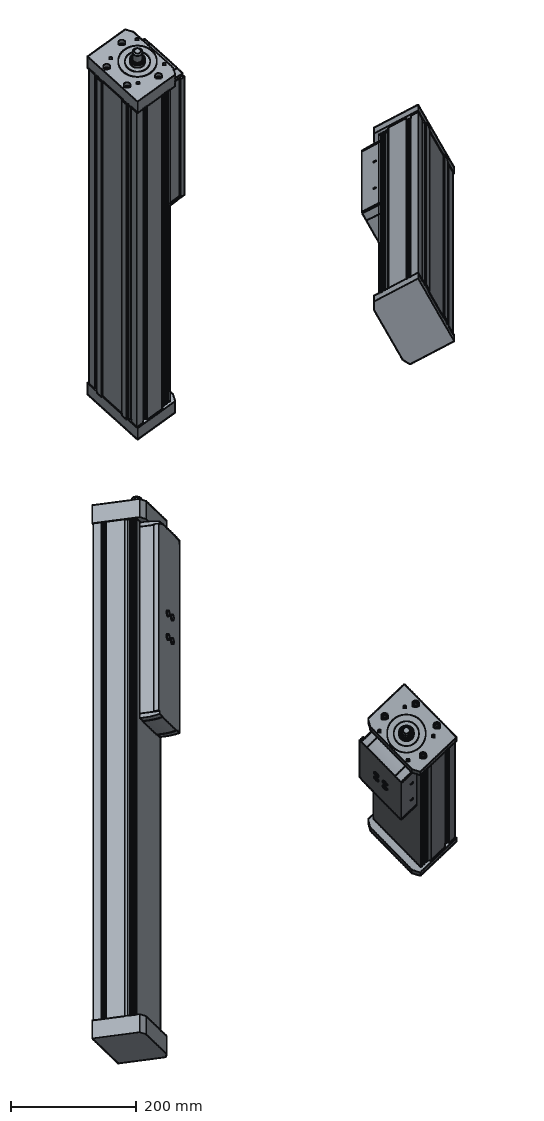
import cadquery as cq


total_length = 934.5
cap_thickness = 31.0
shaft_projection = 27.0
top_face_z = total_length - shaft_projection
profile_length = top_face_z - 2 * cap_thickness

cap_width = 120.0
cap_front_y = -53.0
cap_back_y = 34.0
cap_back_width = 95.0
cap_shoulder_y = 27.0
pilot_diameter = 62.0
seat_diameter = 40.0
ring_step = 1.0
screw_head_diameter = 11.0
screw_head_depth = 9.0
screw_hole_diameter = 6.6
side_screw_x = 44.0
side_screw_y = 6.0
front_screw_x = 24.0
front_screw_y = -44.0
tapped_hole_diameter = 4.95
tapped_hole_depth = 15.0
tapped_hole_offset = 33.0
tapped_hole_y = 28.0

shaft_diameter = 16.0
shaft_chamfer = 3.0
collar_chamfer = 2.0
collar_diameter = 24.0
collar_projection = 7.0

profile_width = 115.0
profile_front_y = -52.0
profile_back_y = 21.0
side_top_y = 1.0
shoulder_height = 5.0
shoulder_inset = 3.0
guide_groove_width = 3.0
guide_groove_depth = 3.0
guide_groove_ys = (10.0, 16.0)
front_rail_width = 11.0
front_rail_height = 3.0
front_rail_x = 30.0
front_slot_width = 6.0
front_slot_depth = 4.0
front_slot_x = 41.0
side_slot_y = -35.0
side_slot_mouth_width = 8.0
side_slot_mouth_depth = 3.0
side_slot_inner_width = 3.0
side_slot_inner_depth = 6.0

carriage_middle_z = 706.5
carriage_block_length = 318.0
carriage_length = 335.0
carriage_width = 93.0
carriage_bottom_y = 22.0
carriage_top_y = 56.0
end_cover_inset = 1.0
end_arc_start_y = 33.0
end_arc_drop = 3.0
end_panel_width = 64.5
end_panel_height = 1.0
foot_width = 75.0
lip_width = 3.0
lip_height = 8.0
ring_diameter = 10.0
ring_projection = 2.0
ring_spacing_x = 20.0
ring_spacing_z = 40.0
side_hole_diameter = 4.95
side_hole_depth = 9.0
side_hole_y = 33.0
side_hole_spacing = 139.0


def box(x_size, y_min, y_max, z_min, z_max, x_middle=0):
    """Axis-aligned block centred on x_middle."""
    block = cq.Workplane("XY").box(x_size, y_max - y_min, z_max - z_min, centered=(True, False, False))
    return block.translate((x_middle, y_min, z_min))


def cylinder(diameter, z_min, z_max, x=0, y=0):
    """Round bar parallel to Z."""
    return cq.Workplane("XY", origin=(x, y, z_min)).circle(diameter / 2).extrude(z_max - z_min)


def make_cap(z_min):
    """Rectangular end plate whose two back corners slope away."""
    outline = [
        (-cap_width / 2, cap_front_y),
        (cap_width / 2, cap_front_y),
        (cap_width / 2, cap_shoulder_y),
        (cap_back_width / 2, cap_back_y),
        (-cap_back_width / 2, cap_back_y),
        (-cap_width / 2, cap_shoulder_y),
    ]
    return cq.Workplane("XY", origin=(0, 0, z_min)).polyline(outline).close().extrude(cap_thickness)


def make_drive_cap():
    """Upper end plate with the shaft bore, circular steps, screw holes and tapped holes."""
    bottom_z = top_face_z - cap_thickness
    screw_seat_z = top_face_z - screw_head_depth
    cap = make_cap(bottom_z)
    cap = cap.cut(cylinder(pilot_diameter, top_face_z - ring_step, top_face_z))
    cap = cap.cut(cylinder(seat_diameter, top_face_z - 2 * ring_step, top_face_z))
    cap = cap.cut(cylinder(collar_diameter, bottom_z, top_face_z))
    for side in (-1, 1):
        for x, y in ((side_screw_x, side_screw_y), (front_screw_x, front_screw_y)):
            cap = cap.cut(cylinder(screw_hole_diameter, bottom_z, top_face_z, side * x, y))
            cap = cap.cut(cylinder(screw_head_diameter, screw_seat_z, top_face_z, side * x, y))
        for y in (-tapped_hole_y, tapped_hole_y):
            x = side * tapped_hole_offset
            cap = cap.cut(cylinder(tapped_hole_diameter, top_face_z - tapped_hole_depth, top_face_z, x, y))
    return cap


def make_shaft():
    """Drive shaft with a collar that fills the bore of the upper end plate."""
    collar_top_z = top_face_z + collar_projection
    collar = cylinder(collar_diameter, top_face_z - cap_thickness, collar_top_z)
    collar = collar.faces(">Z").chamfer(collar_chamfer)
    journal = cylinder(shaft_diameter, collar_top_z, total_length).faces(">Z").chamfer(shaft_chamfer)
    return collar.union(journal)


def make_profile():
    """Extruded beam with two front rails, slots in front and sides, and guide grooves by the carriage."""
    half_width = profile_width / 2
    back_half_width = half_width - shoulder_inset
    shoulder_top_y = side_top_y + shoulder_height
    bottom_z = cap_thickness
    top_z = bottom_z + profile_length
    outline = [
        (-half_width, profile_front_y),
        (half_width, profile_front_y),
        (half_width, side_top_y),
        (back_half_width, shoulder_top_y),
        (back_half_width, profile_back_y),
        (-back_half_width, profile_back_y),
        (-back_half_width, shoulder_top_y),
        (-half_width, side_top_y),
    ]
    beam = cq.Workplane("XY", origin=(0, 0, bottom_z)).polyline(outline).close().extrude(profile_length)

    rail_face_y = profile_front_y - front_rail_height
    slot_floor_y = profile_front_y + front_slot_depth
    side_cuts = [
        (side_slot_mouth_depth, side_slot_mouth_width, side_slot_y, half_width),
        (side_slot_inner_depth, side_slot_inner_width, side_slot_y, half_width),
    ]
    for groove_y in guide_groove_ys:
        side_cuts.append((guide_groove_depth, guide_groove_width, groove_y, back_half_width))

    for side in (-1, 1):
        rail = box(front_rail_width, rail_face_y, profile_front_y, bottom_z, top_z, side * front_rail_x)
        beam = beam.union(rail)
        slot = box(front_slot_width, profile_front_y, slot_floor_y, bottom_z, top_z, side * front_slot_x)
        beam = beam.cut(slot)
        for depth, width, y, wall_x in side_cuts:
            beam = beam.cut(box(2 * depth, y - width / 2, y + width / 2, bottom_z, top_z, side * wall_x))
    return beam


def make_arched_block(width, length):
    """Block whose two Z ends curve back toward its +Y face."""
    half_length = length / 2
    corner_z = half_length - end_arc_drop
    upper_half = (
        cq.Workplane("YZ", origin=(-width / 2, 0, carriage_middle_z))
        .moveTo(carriage_bottom_y, 0)
        .lineTo(carriage_bottom_y, half_length)
        .lineTo(end_arc_start_y, half_length)
        .tangentArcPoint((carriage_top_y, corner_z), relative=False)
        .lineTo(carriage_top_y, 0)
        .close()
        .extrude(width)
    )
    return upper_half.union(upper_half.mirror("XY", (0, 0, carriage_middle_z)))


def make_carriage():
    """Sliding block with arched end covers, a foot on the profile, locating rings and side holes."""
    block_bottom_z = carriage_middle_z - carriage_block_length / 2
    block_top_z = carriage_middle_z + carriage_block_length / 2
    block = box(carriage_width, carriage_bottom_y, carriage_top_y, block_bottom_z, block_top_z)

    cover_width = carriage_width - 2 * end_cover_inset
    covers = make_arched_block(cover_width, carriage_length - 2 * end_panel_height)
    panels = make_arched_block(end_panel_width, carriage_length)
    foot = box(foot_width, profile_back_y, carriage_bottom_y, block_bottom_z, block_top_z)

    lip_x = (carriage_width + lip_width) / 2
    lip = box(lip_width, carriage_top_y - lip_height, carriage_top_y, block_bottom_z, block_top_z, lip_x)

    rings = (
        cq.Workplane("XZ", origin=(0, carriage_top_y, carriage_middle_z))
        .rarray(ring_spacing_x, ring_spacing_z, 2, 2)
        .circle(ring_diameter / 2)
        .extrude(-ring_projection)
    )
    side_holes = (
        cq.Workplane("YZ", origin=(-carriage_width / 2, side_hole_y, carriage_middle_z))
        .pushPoints([(0, -side_hole_spacing / 2), (0, side_hole_spacing / 2)])
        .circle(side_hole_diameter / 2)
        .extrude(side_hole_depth)
    )
    return block.union(covers).union(panels).union(foot).union(lip).union(rings).cut(side_holes)


base_cap = make_cap(0)
drive_cap = make_drive_cap()
shaft = make_shaft()
profile = make_profile()
carriage = make_carriage()

result = cq.Compound.makeCompound(
    [base_cap.val(), drive_cap.val(), shaft.val(), profile.val(), carriage.val()]
)